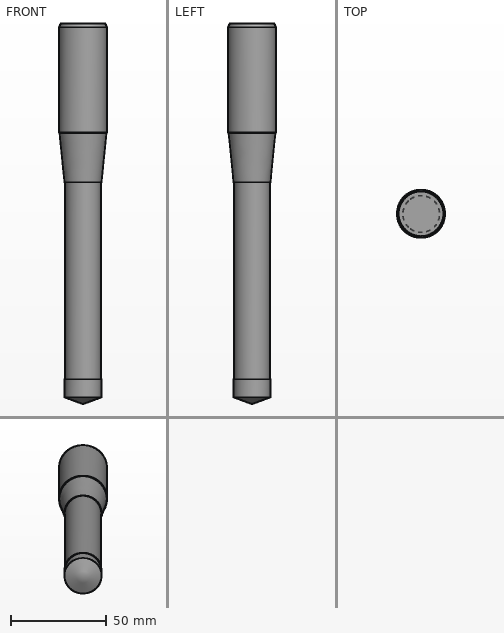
import cadquery as cq

overall_length = 200.0

shank_diameter = 25.4
shank_bottom_z = 142.7
chamfer_width = 1.0
chamfer_height = 2.0

taper_top_diameter = 24.8
taper_top_z = 142.3
taper_bottom_diameter = 19.5
taper_bottom_z = 116.5

neck_diameter = 19.0

head_diameter = 19.5
head_top_z = 13.2
point_height = 3.5


def revolve_half_profile(points):
    """Turn a closed outline of (radius, height) points around the Z axis."""
    return cq.Workplane("XZ").polyline(points).close().revolve(360, (0, 0, 0), (0, 1, 0))


def make_holder():
    """Chamfered shank, tiny bevel down to the taper, and a slightly recessed neck."""
    shank_radius = shank_diameter / 2
    neck_radius = neck_diameter / 2
    return revolve_half_profile([
        (0, head_top_z),
        (neck_radius, head_top_z),
        (neck_radius, taper_bottom_z),
        (taper_bottom_diameter / 2, taper_bottom_z),
        (taper_top_diameter / 2, taper_top_z),
        (shank_radius, shank_bottom_z),
        (shank_radius, overall_length - chamfer_height),
        (shank_radius - chamfer_width, overall_length),
        (0, overall_length),
    ])


def make_cutting_head():
    """Short cylinder under the neck that ends in a shallow cone."""
    head_radius = head_diameter / 2
    return revolve_half_profile([
        (0, 0),
        (head_radius, point_height),
        (head_radius, head_top_z),
        (0, head_top_z),
    ])


holder = make_holder()
cutting_head = make_cutting_head()

result = cq.Compound.makeCompound([holder.val(), cutting_head.val()])